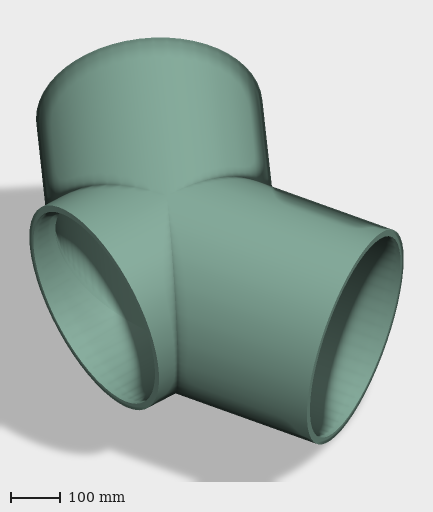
import cadquery as cq
import math

overall_width = 954.5
outer_diameter = 457.0
inner_diameter = 429.0
stem_length = 178.0
arm_angle = 30.0

tilt = math.radians(arm_angle)
arm_length = (overall_width / 2 - outer_diameter / 2 * math.sin(tilt)) / math.cos(tilt)

branches = [
    (-90.0, stem_length),
    (arm_angle, arm_length),
    (180.0 - arm_angle, arm_length),
]


def branch_cylinder(angle, length, diameter):
    """Solid cylinder running outwards from the origin in the XY plane."""
    direction = cq.Vector(math.cos(math.radians(angle)), math.sin(math.radians(angle)), 0)
    return cq.Workplane(cq.Solid.makeCylinder(diameter / 2, length, cq.Vector(0, 0, 0), direction))


def joined_cylinders(diameter):
    """The three branches merged, mitred where they meet."""
    body = cq.Workplane()
    for angle, length in branches:
        body = body.add(branch_cylinder(angle, length, diameter))
    return body.combine()


pipes = joined_cylinders(outer_diameter).cut(joined_cylinders(inner_diameter))

trim = cq.Workplane().box(overall_width, overall_width, overall_width)
trim = trim.translate((0, -stem_length - overall_width / 2, 0))
result = pipes.cut(trim)